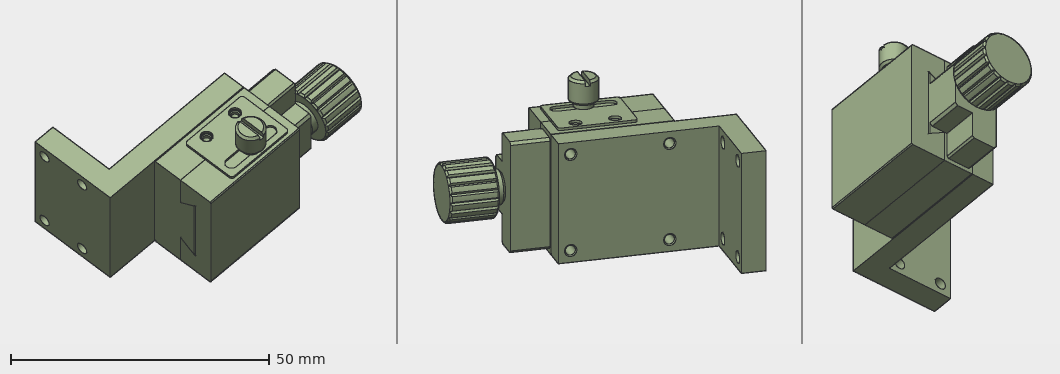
import cadquery as cq
import math

height = 25.0
stage_length = 25.0
edge_bevel = 0.25

foot_length = 20.0
wall = 5.0
bracket_length = 37.5
hole_pitch = 20.0
foot_hole_pitch = 10.0
foot_hole_diameter = 2.5
leg_hole_diameter = 2.0
leg_hole_mouth = 2.5

stage_width = 15.0
rail_base = 6.9
dovetail_height = 3.6
dovetail_neck = 11.0
dovetail_angle = 30
dovetail_clearance = 0.35

tail_length = 8.0
tail_height = 23.1
tail_inset = 0.45
tail_plate_thickness = 5.85
tail_bevel = 0.6
tail_step_bevel = 0.4

plate_width = 12.55
plate_length = 16.1
plate_thickness = 0.5
plate_corner = 0.7
plate_setback = 10.0
plate_inset = 1.5
screw_hole_offset = 1.95
screw_hole_pitch = 8.0
plate_hole_diameter = 2.5
screw_hole_mouth = 2.0
screw_hole_bore = 1.55
screw_hole_depth = 0.9
drill_point_height = 0.45
slot_offset = 8.0
slot_width = 2.6
slot_length = 13.45

shank_diameter = 2.0
collar_diameter = 4.0
collar_height = 1.05
head_diameter = 6.0
screw_top = 31.8
head_bevel = 0.5
driver_slot_width = 1.0
driver_slot_depth = 1.1

knob_diameter = 12.0
knob_length = 10.0
knob_bevel = 0.4
knob_neck_diameter = 7.0
knob_neck_length = 2.0
knob_neck_bevel = 0.5
flute_count = 20
flute_width = 0.75
flute_depth = 0.4
flute_start = -1.0

mid_z = height / 2
hole_margin = (height - hole_pitch) / 2
stage_front = bracket_length - stage_length
rail_x = foot_length
split_x = rail_x + rail_base
tip_x = split_x + dovetail_height
stage_right = rail_x + stage_width
tail_end = bracket_length + tail_length
plate_left = rail_x + plate_inset
plate_mid_x = plate_left + plate_width / 2
plate_mid_y = bracket_length - plate_setback
plate_top = height + plate_thickness
screw_hole_x = plate_left + screw_hole_offset
slot_x = screw_hole_x + slot_offset


def box(x0, x1, y0, y1, z0, z1):
    """Axis-aligned block between two opposite corners."""
    return cq.Workplane("XY").box(x1 - x0, y1 - y0, z1 - z0, centered=False).translate((x0, y0, z0))


def revolved(profile):
    """Solid of revolution about Z from (radius, z) points that start and end on the axis."""
    return cq.Workplane("XZ").polyline(profile).close().revolve(360, (0, 0, 0), (0, 1, 0))


def dovetail(depth):
    """Dovetail running along the slide, widening from the split plane over the given depth."""
    neck = dovetail_neck / 2
    tip = neck + depth * math.tan(math.radians(dovetail_angle))
    outline = [
        (split_x, mid_z - neck),
        (split_x + depth, mid_z - tip),
        (split_x + depth, mid_z + tip),
        (split_x, mid_z + neck),
    ]
    return cq.Workplane("XZ", origin=(0, bracket_length, 0)).polyline(outline).close().extrude(stage_length)


def make_bracket():
    outline = [
        (0, 0),
        (foot_length, 0),
        (foot_length, bracket_length),
        (foot_length - wall, bracket_length),
        (foot_length - wall, wall),
        (0, wall),
    ]
    bracket = cq.Workplane("XY").polyline(outline).close().extrude(height)

    foot_centres = [
        (hole_margin + i * foot_hole_pitch, hole_margin + j * hole_pitch) for i in range(2) for j in range(2)
    ]
    foot_holes = (
        cq.Workplane("XZ", origin=(0, wall, 0))
        .pushPoints(foot_centres)
        .circle(foot_hole_diameter / 2)
        .extrude(wall)
    )

    last_y = bracket_length - hole_margin
    leg_centres = [(last_y - i * hole_pitch, hole_margin + j * hole_pitch) for i in range(2) for j in range(2)]
    leg_holes = (
        cq.Workplane("YZ", origin=(foot_length - wall, 0, 0))
        .pushPoints(leg_centres)
        .circle(leg_hole_diameter / 2)
        .extrude(wall)
    )
    mouth_step = (leg_hole_mouth - leg_hole_diameter) / 2
    mouths = (
        cq.Workplane("YZ", origin=(foot_length - wall, 0, 0))
        .pushPoints(leg_centres)
        .circle(leg_hole_mouth / 2)
        .extrude(mouth_step, taper=45)
    )
    return bracket.cut(foot_holes).cut(leg_holes).cut(mouths)


def make_tail_block():
    """Stepped block behind the rail: a tall plate and a lower nose as wide as the dovetail neck."""
    left = rail_x + tail_inset
    step_x = left + tail_plate_thickness
    tall_half = tail_height / 2
    plate = box(left, step_x, bracket_length, tail_end, mid_z - tall_half, mid_z + tall_half)
    plate = plate.edges("|Y and <X").chamfer(tail_bevel)
    plate = plate.edges("|Y and >X").chamfer(tail_step_bevel)
    low_half = dovetail_neck / 2
    nose_x = step_x - tail_step_bevel
    nose = box(nose_x, tip_x, bracket_length, tail_end, mid_z - low_half, mid_z + low_half)
    nose = nose.edges("|Y and >X").chamfer(tail_bevel)
    return plate.union(nose)


def make_locking_plate():
    plate = (
        cq.Workplane("XY", origin=(plate_mid_x, plate_mid_y, height))
        .rect(plate_width, plate_length)
        .extrude(plate_thickness)
        .edges("|Z")
        .fillet(plate_corner)
    )
    slot = (
        cq.Workplane("XY", origin=(slot_x, plate_mid_y, height))
        .slot2D(slot_length, slot_width, 90)
        .extrude(plate_thickness)
    )
    return plate.cut(slot)


def make_screw_hole():
    """Clear hole through the plate over a countersunk blind hole in the rail, centred on the Z axis."""
    clear = plate_hole_diameter / 2
    mouth = screw_hole_mouth / 2
    bore = screw_hole_bore / 2
    bore_bottom = height - screw_hole_depth
    return revolved([
        (0, plate_top),
        (clear, plate_top),
        (clear, height),
        (mouth, height),
        (bore, height - (mouth - bore)),
        (bore, bore_bottom),
        (0, bore_bottom - drill_point_height),
    ])


def make_rail():
    """Male slide half in one piece with its tail block and locking plate."""
    base = box(rail_x, split_x, stage_front, bracket_length, 0, height)
    base = base.edges("|Y and <X").chamfer(edge_bevel)
    rail = base.union(dovetail(dovetail_height)).union(make_tail_block()).union(make_locking_plate())
    for side in (-1, 1):
        centre_y = plate_mid_y + side * screw_hole_pitch / 2
        rail = rail.cut(make_screw_hole().translate((screw_hole_x, centre_y, 0)))
    return rail


def make_thumbscrew():
    """Slotted screw with its shank reaching down through the plate slot."""
    shank = shank_diameter / 2
    collar = collar_diameter / 2
    head = head_diameter / 2
    collar_top = plate_top + collar_height
    screw = revolved([
        (0, height),
        (shank, height),
        (shank, plate_top),
        (collar, plate_top),
        (collar, collar_top),
        (head - head_bevel, collar_top),
        (head, collar_top + head_bevel),
        (head, screw_top - head_bevel),
        (head - head_bevel, screw_top),
        (0, screw_top),
    ])
    half = driver_slot_width / 2
    driver_slot = box(-head, head, -half, half, screw_top - driver_slot_depth, screw_top)
    return screw.cut(driver_slot).translate((slot_x, plate_mid_y, 0))


def make_slider():
    """Female slide half in one piece with the thumbscrew that clamps it."""
    slider = box(split_x, stage_right, stage_front, bracket_length, 0, height)
    slider = slider.edges("|Y and >X").chamfer(edge_bevel)
    groove = dovetail(dovetail_height + dovetail_clearance)
    return slider.cut(groove).union(make_thumbscrew())


def make_knob():
    """Fluted knob on a bevelled neck, its axis on the split plane."""
    neck = knob_neck_diameter / 2
    radius = knob_diameter / 2
    knob_end = knob_neck_length + knob_length
    knob = revolved([
        (0, 0),
        (neck - knob_neck_bevel, 0),
        (neck, knob_neck_bevel),
        (neck, knob_neck_length),
        (radius - knob_bevel, knob_neck_length),
        (radius, knob_neck_length + knob_bevel),
        (radius, knob_end - knob_bevel),
        (radius - knob_bevel, knob_end),
        (0, knob_end),
    ])
    root = radius - flute_depth
    reach = 2 * flute_depth
    flute = (
        cq.Workplane("XY", origin=(0, 0, knob_neck_length))
        .polyline([(-root, 0), (-root - reach, flute_width), (-root - reach, -flute_width)])
        .close()
        .extrude(knob_length)
    )
    for i in range(flute_count):
        angle = flute_start + i * 360 / flute_count
        knob = knob.cut(flute.rotate((0, 0, 0), (0, 0, 1), angle))
    return knob.rotate((0, 0, 0), (1, 0, 0), -90).translate((split_x, tail_end, mid_z))


bracket = make_bracket()
rail = make_rail()
slider = make_slider()
knob = make_knob()

result = cq.Compound.makeCompound([bracket.val(), rail.val(), slider.val(), knob.val()])